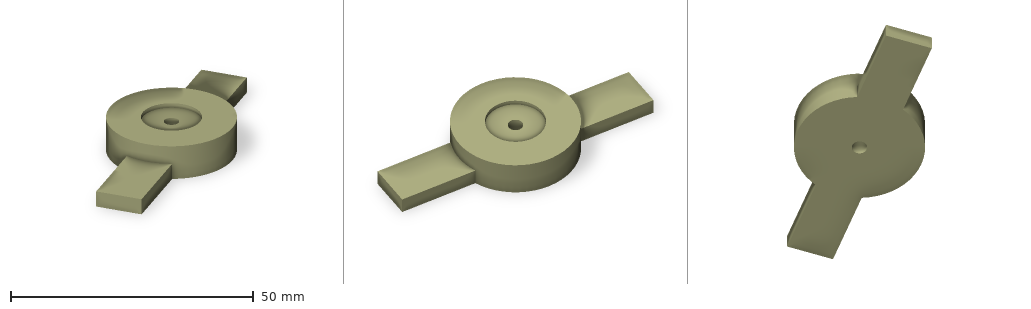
import cadquery as cq

arm_span = 60.0
arm_width = 10.0
arm_height = 3.5
hub_diameter = 27.0
hub_height = 7.5
recess_diameter = 12.6
recess_depth = 1.0
bore_diameter = 3.2


def cylinder(diameter, height, base_z):
    """Cylinder on the hub axis, rising from base_z."""
    return cq.Workplane("XY").workplane(offset=base_z).circle(diameter / 2).extrude(height)


hub = cylinder(hub_diameter, hub_height, 0)
arms = cq.Workplane("XY").rect(arm_width, arm_span).extrude(arm_height)

recess = cylinder(recess_diameter, recess_depth, hub_height - recess_depth)
bore = cylinder(bore_diameter, hub_height, 0)

result = hub.union(arms).cut(recess).cut(bore)